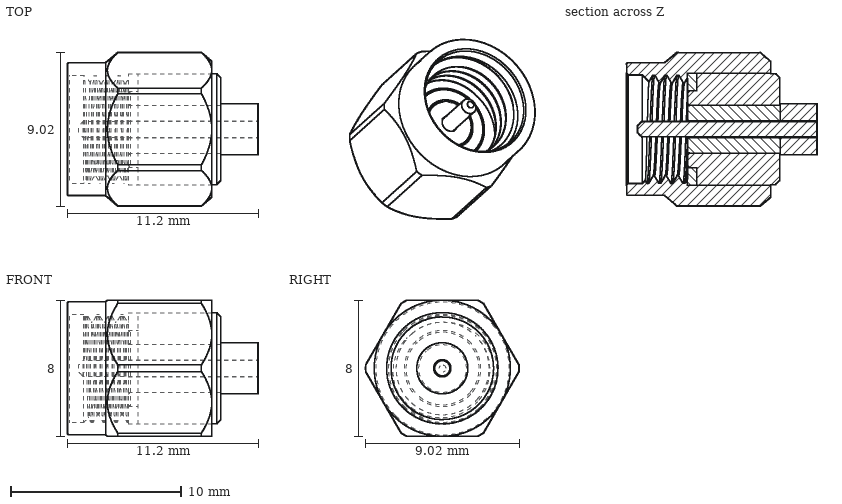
import cadquery as cq
import math


TOTAL_LENGTH = 11.2
EDGE_BREAK = 0.1

NUT_LENGTH = 8.48
HEX_ACROSS_FLATS = 8.0
HEX_ACROSS_CORNERS = 9.02
HEX_CORNER_RADIUS = HEX_ACROSS_CORNERS / 2
HEX_SIDES = 6
HEX_START = 2.24
HEX_CHAMFER_ANGLE = 40.0
COLLAR_RADIUS = 3.91
FRONT_BORE_RADIUS = 3.18
FRONT_BORE_DEPTH = 0.93

THREAD_PITCH = 0.7
THREAD_CREST_RADIUS = 2.72
THREAD_ROOT_RADIUS = 3.17
THREAD_HALF_ANGLE = 30.0
THREAD_ROOT_WIDTH = 0.1
THREAD_RUN_IN = 0.06
THREAD_START = 0.73
THREAD_TURNS = 5

MATING_PLANE = 3.58
TUBE_RADIUS = 2.24
FLANGE_RADIUS = 3.27
FLANGE_END = 9.02
FLANGE_CHAMFER = 0.26
TAIL_RADIUS = 1.5
GASKET_THICKNESS = 0.56
GASKET_END = MATING_PLANE + GASKET_THICKNESS
INSULATOR_RADIUS = 1.4
PIN_HOLE_RADIUS = 0.49
PIN_RADIUS = 0.46
PIN_START = 0.65
PIN_TIP_RADIUS = 0.2
PIN_TIP_LENGTH = 0.25


def revolve_profile(points):
    """Turn an (x, radius) outline about the X axis."""
    return cq.Workplane("XY").polyline(points).close().revolve(360, (0, 0, 0), (1, 0, 0))


def cylinder(start, end, radius):
    return cq.Workplane("YZ", origin=(start, 0, 0)).circle(radius).extrude(end - start)


def make_hexagon():
    """Hexagonal grip, flats on +Z and -Z, with conical ends."""
    flat_radius = HEX_ACROSS_FLATS / 2
    slope = math.tan(math.radians(HEX_CHAMFER_ANGLE))
    front_chamfer = (HEX_CORNER_RADIUS - COLLAR_RADIUS) / slope
    rear_chamfer = (HEX_CORNER_RADIUS - flat_radius) / slope
    envelope = revolve_profile([
        (HEX_START, 0),
        (HEX_START, COLLAR_RADIUS),
        (HEX_START + front_chamfer, HEX_CORNER_RADIUS),
        (NUT_LENGTH - rear_chamfer, HEX_CORNER_RADIUS),
        (NUT_LENGTH, flat_radius),
        (NUT_LENGTH, 0),
    ])
    sharp_corner_diameter = HEX_ACROSS_FLATS / math.cos(math.pi / HEX_SIDES)
    prism = (
        cq.Workplane("YZ", origin=(HEX_START, 0, 0))
        .polygon(HEX_SIDES, sharp_corner_diameter)
        .extrude(NUT_LENGTH - HEX_START)
    )
    return prism.intersect(envelope)


def make_thread_cutter():
    """Helical V groove, made about Z and then laid along X."""
    cutter_tip_radius = THREAD_CREST_RADIUS - THREAD_RUN_IN
    root_half = THREAD_ROOT_WIDTH / 2
    flank_run = (THREAD_ROOT_RADIUS - cutter_tip_radius) * math.tan(math.radians(THREAD_HALF_ANGLE))
    mouth_half = root_half + flank_run
    helix = cq.Wire.makeHelix(THREAD_PITCH, THREAD_PITCH * THREAD_TURNS, THREAD_CREST_RADIUS)
    groove = (
        cq.Workplane("XZ")
        .polyline([
            (cutter_tip_radius, -mouth_half),
            (THREAD_ROOT_RADIUS, -root_half),
            (THREAD_ROOT_RADIUS, root_half),
            (cutter_tip_radius, mouth_half),
        ])
        .close()
        .sweep(cq.Workplane(helix), isFrenet=True)
    )
    return groove.rotate((0, 0, 0), (0, 1, 0), 90).translate((THREAD_START, 0, 0))


def make_nut():
    """Coupling nut: the thread is cut in a plain bore, then both ends are opened out."""
    collar = cylinder(0, HEX_START, COLLAR_RADIUS).faces("<X").edges().fillet(EDGE_BREAK)
    lead_in = FRONT_BORE_RADIUS - THREAD_CREST_RADIUS
    bore = revolve_profile([
        (0, 0),
        (0, FRONT_BORE_RADIUS + EDGE_BREAK),
        (EDGE_BREAK, FRONT_BORE_RADIUS),
        (FRONT_BORE_DEPTH, FRONT_BORE_RADIUS),
        (FRONT_BORE_DEPTH + lead_in, THREAD_CREST_RADIUS),
        (MATING_PLANE, THREAD_CREST_RADIUS),
        (MATING_PLANE, FLANGE_RADIUS),
        (NUT_LENGTH, FLANGE_RADIUS),
        (NUT_LENGTH, 0),
    ])
    crest_bore = cylinder(0, NUT_LENGTH, THREAD_CREST_RADIUS)
    threaded = collar.union(make_hexagon()).cut(crest_bore).cut(make_thread_cutter())
    return threaded.cut(bore)


def make_gasket():
    """Flat ring around the shell tube, against the end of the thread."""
    ring = cylinder(MATING_PLANE, GASKET_END, FLANGE_RADIUS)
    return ring.cut(cylinder(MATING_PLANE, GASKET_END, TUBE_RADIUS))


def make_shell():
    """Outer conductor: front tube, flange inside the nut, and cable tail."""
    body = revolve_profile([
        (MATING_PLANE, 0),
        (MATING_PLANE, TUBE_RADIUS - EDGE_BREAK),
        (MATING_PLANE + EDGE_BREAK, TUBE_RADIUS),
        (GASKET_END, TUBE_RADIUS),
        (GASKET_END, FLANGE_RADIUS),
        (FLANGE_END - FLANGE_CHAMFER, FLANGE_RADIUS),
        (FLANGE_END, FLANGE_RADIUS - FLANGE_CHAMFER),
        (FLANGE_END, TAIL_RADIUS),
        (TOTAL_LENGTH, TAIL_RADIUS),
        (TOTAL_LENGTH, 0),
    ])
    cavity = revolve_profile([
        (MATING_PLANE, 0),
        (MATING_PLANE, INSULATOR_RADIUS + EDGE_BREAK),
        (MATING_PLANE + EDGE_BREAK, INSULATOR_RADIUS),
        (FLANGE_END, INSULATOR_RADIUS),
        (FLANGE_END, PIN_HOLE_RADIUS),
        (TOTAL_LENGTH, PIN_HOLE_RADIUS),
        (TOTAL_LENGTH, 0),
    ])
    return body.cut(cavity)


def make_insulator():
    bead = cylinder(MATING_PLANE, FLANGE_END, INSULATOR_RADIUS)
    return bead.cut(cylinder(MATING_PLANE, FLANGE_END, PIN_HOLE_RADIUS))


def make_pin():
    """Centre contact with a conical tip, in a clearance hole all the way through."""
    return revolve_profile([
        (PIN_START, 0),
        (PIN_START, PIN_TIP_RADIUS),
        (PIN_START + PIN_TIP_LENGTH, PIN_RADIUS),
        (TOTAL_LENGTH, PIN_RADIUS),
        (TOTAL_LENGTH, 0),
    ])


nut = make_nut()
gasket = make_gasket()
shell = make_shell()
insulator = make_insulator()
pin = make_pin()

result = cq.Compound.makeCompound([
    nut.val(),
    gasket.val(),
    shell.val(),
    insulator.val(),
    pin.val(),
])